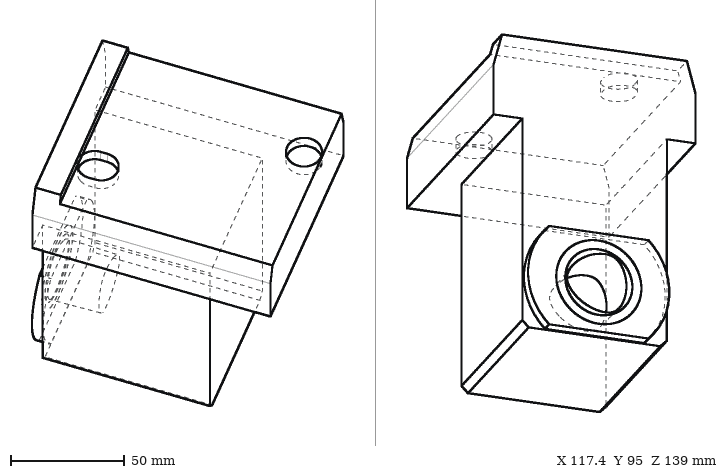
import cadquery as cq
import math

total_height = 139.0
plate_length = 111.9
plate_width = 95.0
plate_thickness = 39.0
side_taper_height = 15.0
side_taper_angle = 15.0
column_length = 78.5
column_width = 68.0
bottom_chamfer = 3.0

lip_length = 12.0
lip_height = 5.0

pocket_depth = 6.0
pocket_offset = 19.0
round_pocket_diameter = 16.0
round_pocket_edge_distance = 8.3
slot_width = 15.3
slot_length = 18.5
slot_center_x = 20.6

flange_diameter = 66.5
flange_thickness = 5.4
flange_height = 47.3
spindle_axis_z = 24.0
ring_outer_diameter = 40.0
ring_inner_diameter = 31.5
ring_thickness = 0.1

socket_mean_diameter = 28.0
socket_lobe_height = 1.0
socket_depth = 24.0
socket_diameter_taper = 1 / 20
socket_curve_points = 36

seat_z = total_height - lip_height


def make_body():
    """Tapered plate on a narrower column with chamfered bottom edges."""
    taper_inset = side_taper_height * math.tan(math.radians(side_taper_angle))
    half_width = plate_width / 2
    plate_bottom_z = total_height - plate_thickness
    taper_start_z = total_height - side_taper_height
    plate = (
        cq.Workplane("YZ")
        .moveTo(-half_width, plate_bottom_z)
        .lineTo(half_width, plate_bottom_z)
        .lineTo(half_width, taper_start_z)
        .lineTo(half_width - taper_inset, total_height)
        .lineTo(-half_width + taper_inset, total_height)
        .lineTo(-half_width, taper_start_z)
        .close()
        .extrude(plate_length)
    )
    seat_recess = cq.Workplane("XY").box(
        plate_length - lip_length, plate_width, lip_height, centered=(False, True, False)
    ).translate((lip_length, 0, seat_z))
    column = (
        cq.Workplane("XY")
        .box(column_length, column_width, plate_bottom_z, centered=(False, True, False))
        .edges("|X and <Z")
        .chamfer(bottom_chamfer)
    )
    return plate.cut(seat_recess).union(column)


def make_pockets():
    """Round pocket near the rear edge and a slot whose front end reaches just under the lip."""
    seat = cq.Workplane("XY", origin=(0, 0, seat_z))
    round_pocket = (
        seat.center(plate_length - round_pocket_edge_distance, pocket_offset)
        .circle(round_pocket_diameter / 2)
        .extrude(-pocket_depth)
    )
    slot = (
        seat.center(slot_center_x, -pocket_offset)
        .slot2D(slot_length, slot_width)
        .extrude(-pocket_depth)
    )
    return round_pocket.union(slot)


def make_flange():
    """Round flange with top and bottom flats, carrying the contact ring."""
    face = cq.Workplane("YZ", origin=(0, 0, spindle_axis_z))
    disc = face.circle(flange_diameter / 2).extrude(-flange_thickness)
    flats = face.rect(flange_diameter, flange_height).extrude(-flange_thickness)
    ring = (
        face.workplane(offset=-flange_thickness)
        .circle(ring_outer_diameter / 2)
        .circle(ring_inner_diameter / 2)
        .extrude(-ring_thickness)
    )
    return disc.intersect(flats).union(ring)


def socket_point(angle, mean_diameter):
    """Point of the three-lobed outline, which has a lobe at angle zero."""
    along = (
        mean_diameter / 2 * math.cos(angle)
        + 2 * socket_lobe_height * math.cos(2 * angle)
        - socket_lobe_height * math.cos(4 * angle)
    )
    across = (
        mean_diameter / 2 * math.sin(angle)
        - 2 * socket_lobe_height * math.sin(2 * angle)
        - socket_lobe_height * math.sin(4 * angle)
    )
    return along, across


def socket_outline(depth):
    """Closed smooth outline of the socket at a given depth, with one lobe toward +Y."""
    diameter = socket_mean_diameter - depth * socket_diameter_taper
    step = 2 * math.pi / socket_curve_points
    points = [socket_point(i * step, diameter) for i in range(socket_curve_points)]
    plane = cq.Workplane("YZ", origin=(depth - flange_thickness, 0, spindle_axis_z))
    return plane.spline(points, periodic=True).wire().val()


def make_socket():
    """Three-lobed cavity narrowing from the flange face into the column."""
    outlines = [socket_outline(0), socket_outline(socket_depth)]
    return cq.Workplane(obj=cq.Solid.makeLoft(outlines, True))


result = make_body().union(make_flange()).cut(make_pockets()).cut(make_socket())